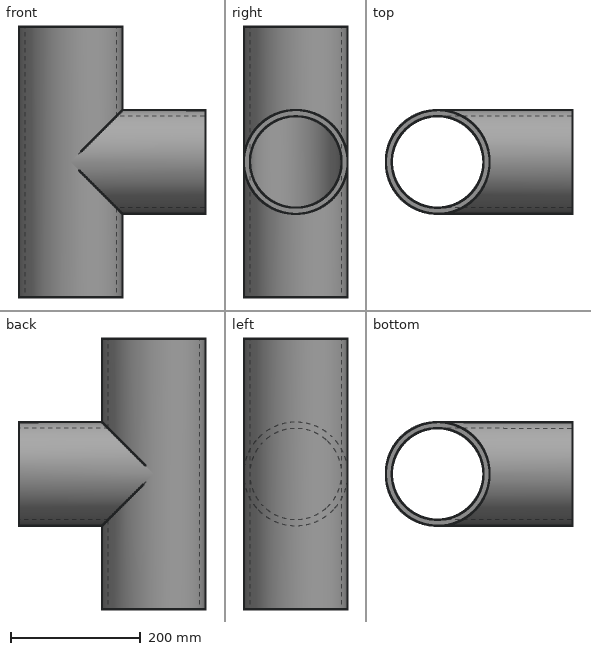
import cadquery as cq

outer_diameter = 160.0
wall = 9.5
run_length = 417.0
branch_reach = 208.0

outer_radius = outer_diameter / 2
bore_radius = outer_radius - wall


def tee_solid(radius):
    """Run and branch cylinders of one radius, joined on crossing axes."""
    run = cq.Workplane("XY").circle(radius).extrude(run_length / 2, both=True)
    branch = cq.Workplane("YZ").circle(radius).extrude(branch_reach)
    return run.union(branch)


result = tee_solid(outer_radius).cut(tee_solid(bore_radius))